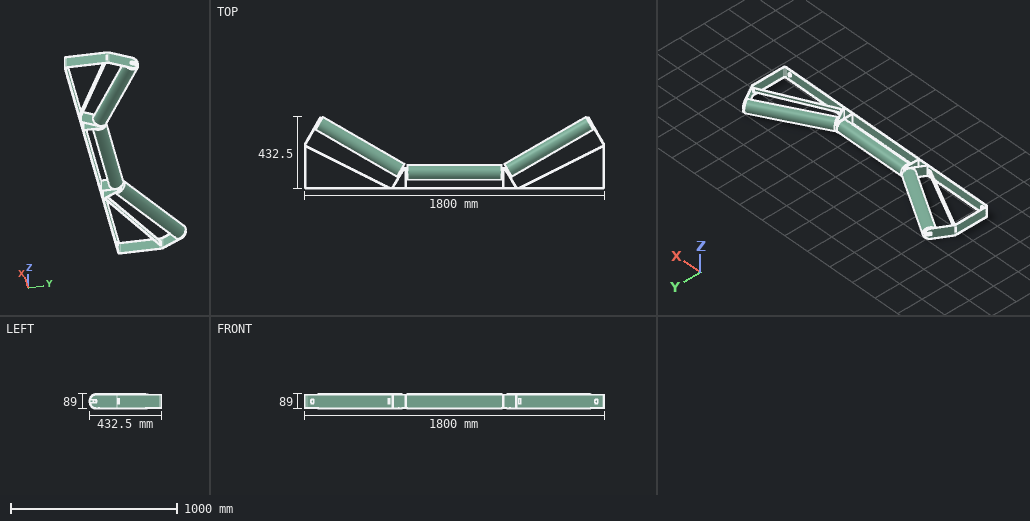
import cadquery as cq
import math


frame_width = 1800.0
strip_thickness = 6.0
strip_width = 80.0
bend_radius = 12.0
wing_end_setback = 3.5
total_height = 432.47

trough_angle = 30.0
roller_diameter = 89.0
roller_length = 566.0
roller_gap = 7.0
shaft_diameter = 20.0
shaft_flat_width = 18.0
centre_axis_height = 99.0

bracket_thickness = 5.0
bracket_height = 127.0
side_roller_inner_x = 322.0

strut_thickness = 5.0
strut_width = 30.0
strut_top_height = 260.0
strut_end_inset = 0.8
strut_foot_x = 393.0

mount_slot_width = 18.0
mount_slot_length = 25.0
mount_slot_inset = 47.0

tilt = math.radians(trough_angle)
half_frame = frame_width / 2
half_roller = roller_length / 2
support_offset = half_roller + roller_gap
half_shaft = support_offset + strip_thickness
wing_end_radius = strip_width / 2
side_axis_height = total_height - roller_diameter / 2 * math.cos(tilt) - half_roller * math.sin(tilt)
wing_axis_height = side_axis_height + half_shaft * math.sin(tilt)
side_axis_x = side_roller_inner_x + half_roller * math.cos(tilt)
wing_axis_x = side_axis_x + half_shaft * math.cos(tilt)
wing_bend_height = wing_axis_height - (half_frame - wing_axis_x) / math.tan(tilt)


def place_on_right_axis(shape):
    """Move a shape built along X onto the axis of the right-hand side roller."""
    turned = shape.rotate((0, 0, 0), (0, 0, 1), trough_angle)
    return turned.translate((side_axis_x, side_axis_height, 0))


def mirror_to_left(shape):
    """Mirror a right-hand shape to the left half of the idler."""
    return shape.mirror("YZ")


def rod(diameter, length):
    """Round bar along X, centred on the origin."""
    return cq.Workplane("YZ", origin=(-length / 2, 0, 0)).circle(diameter / 2).extrude(length)


def plate(outline):
    """Strip profile in the XY plane, given the full strip width centred on Z = 0."""
    profile = cq.Workplane("XY", origin=(0, 0, -strip_width / 2)).polyline(outline).close()
    return profile.extrude(strip_width)


def shaft_blank():
    """Round shaft along X with two flats facing +Z and -Z."""
    shaft = rod(shaft_diameter, 2 * half_shaft)
    flats = cq.Workplane("XY").box(2 * half_shaft, shaft_diameter, shaft_flat_width)
    return shaft.intersect(flats)


def make_roller():
    """Drum and its shaft as one body, along X and centred on the origin."""
    return rod(roller_diameter, roller_length).union(shaft_blank())


def shaft_slots():
    """Cutter for the shaft ends and the open slots above them."""
    opening = cq.Workplane("XY").box(
        2 * half_shaft, roller_diameter, shaft_flat_width, centered=(True, False, True)
    )
    return opening.union(shaft_blank())


def wing_end_trim():
    """Cutter that leaves a full round, just below the roller axis, at the wing tip."""
    length = 3 * strip_thickness
    start = half_shaft - 2 * strip_thickness
    blank = cq.Workplane("YZ", origin=(start, 0, 0)).rect(roller_diameter, 2 * strip_width)
    blank = blank.extrude(length).translate((0, roller_diameter / 2, 0))
    round_end = cq.Workplane("YZ", origin=(start, 0, 0)).circle(wing_end_radius).extrude(length)
    return blank.cut(round_end).translate((0, -wing_end_setback, 0))


def make_right_strut():
    """Flat bar from the base into the wall, cut square at the top and flush with the base."""
    run = half_frame - strut_end_inset - strut_foot_x
    rise = strut_top_height - strip_thickness
    slope = math.degrees(math.atan2(rise, run))
    length = math.hypot(run, rise)
    bar = cq.Workplane("XY").box(2 * length, strut_thickness, strut_width)
    bar = bar.rotate((0, 0, 0), (0, 0, 1), slope).translate((strut_foot_x, strip_thickness, 0))
    inside = cq.Workplane("XY", origin=(0, strip_thickness, 0)).box(
        half_frame, total_height, strip_width, centered=(False, False, True)
    )
    return bar.intersect(inside)


def round_bends(strip, corners, radius):
    """Round the strip at each of the given corners and at its mirror image."""
    for x, y in corners:
        for side in (-1, 1):
            corner = cq.selectors.NearestToPointSelector((side * x, y, 0))
            strip = strip.edges("|Z").edges(corner).fillet(radius)
    return strip


def make_frame(struts):
    """Bent strip: base, two walls and two wings leaning in across the ends of the side rollers."""
    tip_reach = wing_end_radius - wing_end_setback
    tip_x = wing_axis_x - tip_reach * math.sin(tilt)
    tip_y = wing_axis_height + tip_reach * math.cos(tilt)
    right_side = [(half_frame, 0), (half_frame, wing_bend_height), (tip_x, tip_y)]
    left_side = [(-x, y) for x, y in reversed(right_side)]
    shift_x = strip_thickness * math.cos(tilt)
    shift_y = strip_thickness * math.sin(tilt)
    inner_bend = wing_bend_height - strip_thickness * math.tan(tilt / 2)
    inner_right = [
        (tip_x - shift_x, tip_y - shift_y),
        (half_frame - strip_thickness, inner_bend),
        (half_frame - strip_thickness, strip_thickness),
    ]
    inner_left = [(-x, y) for x, y in reversed(inner_right)]
    strip = plate(left_side + right_side + inner_right + inner_left)
    strip = round_bends(strip, right_side[:2], bend_radius)
    strip = round_bends(strip, inner_right[1:], bend_radius - strip_thickness)

    for cutter in (wing_end_trim(), shaft_slots()):
        right_cutter = place_on_right_axis(cutter)
        strip = strip.cut(right_cutter).cut(mirror_to_left(right_cutter))

    mount_slots = (
        cq.Workplane("XZ")
        .pushPoints([(-half_frame + mount_slot_inset, 0), (half_frame - mount_slot_inset, 0)])
        .slot2D(mount_slot_length, mount_slot_width, angle=90)
        .extrude(-strip_thickness)
    )
    strip = strip.cut(mount_slots)
    for strut in struts:
        strip = strip.cut(strut)
    return strip


def make_right_bracket():
    """Folded strip: a vertical leg by the centre roller and a leaning leg by the side roller."""
    face_x = side_axis_x - support_offset * math.cos(tilt)
    face_y = side_axis_height - support_offset * math.sin(tilt)

    def leaning_x(y, depth):
        """X of the leaning leg at height y, depth being measured in from the roller side."""
        return face_x + (face_y - y) * math.tan(tilt) - depth / math.cos(tilt)

    upright_x = support_offset
    inner_top = bracket_height - bracket_thickness
    outline = [
        (upright_x, strip_thickness),
        (upright_x, bracket_height),
        (leaning_x(bracket_height, 0), bracket_height),
        (leaning_x(strip_thickness, 0), strip_thickness),
        (leaning_x(strip_thickness, bracket_thickness), strip_thickness),
        (leaning_x(inner_top, bracket_thickness), inner_top),
        (upright_x + bracket_thickness, inner_top),
        (upright_x + bracket_thickness, strip_thickness),
    ]
    bracket = plate(outline)
    centre_slots = shaft_slots().translate((0, centre_axis_height, 0))
    return bracket.cut(centre_slots).cut(place_on_right_axis(shaft_slots()))


right_strut = make_right_strut()
struts = [right_strut, mirror_to_left(right_strut)]
frame = make_frame(struts)
right_bracket = make_right_bracket()
brackets = [right_bracket, mirror_to_left(right_bracket)]
centre_roller = make_roller().translate((0, centre_axis_height, 0))
side_roller = place_on_right_axis(make_roller())
rollers = [centre_roller, side_roller, mirror_to_left(side_roller)]

result = cq.Compound.makeCompound(
    [body.val() for body in [frame, *brackets, *struts, *rollers]]
)